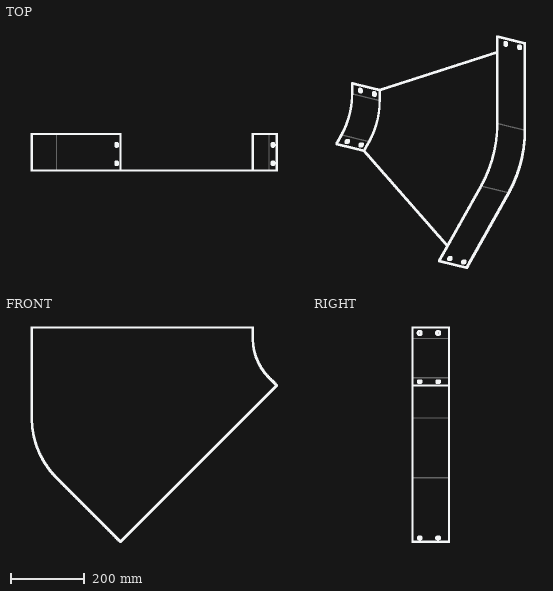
import cadquery as cq
import math

bend_angle = 45.0
overall_length = 665.0
wall_height = 100.0
sheet = 1.0
inner_radius = 149.5
inner_straight = 30.0
outer_radius = 229.5

hole_diameter = 9.0
hole_end_distance = inner_straight / 2
hole_first_height = 20.0
hole_spacing = 50.0
hole_rows = 2
hole_cutter_length = 4 * sheet

bend = math.radians(bend_angle)
half_tangent = math.tan(bend / 2)
inner_reach = inner_radius * (1 - math.cos(bend)) + inner_straight * math.sin(bend)
tray_width = overall_length - inner_reach
inner_corner = inner_straight + inner_radius * half_tangent
outer_corner = inner_corner + tray_width * half_tangent
outer_straight = outer_corner - outer_radius * half_tangent


def side_path(x_start, radius, straight):
    """Points of one side: start, bend start, bend middle, bend end, finish."""
    def on_arc(angle):
        x = x_start + radius * (1 - math.cos(angle))
        return (x, -straight - radius * math.sin(angle))

    bend_end = on_arc(bend)
    finish = (
        bend_end[0] + straight * math.sin(bend),
        bend_end[1] - straight * math.cos(bend),
    )
    return [(x_start, 0), on_arc(0), on_arc(bend / 2), bend_end, finish]


def band(left, right, depth):
    """Solid between two side paths, extruded from the front face toward +Y."""
    outline = (
        cq.Workplane("XZ")
        .moveTo(*left[0])
        .lineTo(*left[1])
        .threePointArc(left[2], left[3])
        .lineTo(*left[4])
        .lineTo(*right[4])
        .lineTo(*right[3])
        .threePointArc(right[2], right[1])
        .lineTo(*right[0])
        .close()
    )
    return outline.extrude(-depth)


def joint_holes(point, normal):
    """Cutters through one wall end, centred on its (x, z) point."""
    cutters = cq.Workplane("XY")
    direction = cq.Vector(normal[0], 0, normal[1])
    for row in range(hole_rows):
        centre = cq.Vector(point[0], hole_first_height + row * hole_spacing, point[1])
        start = centre - direction * (hole_cutter_length / 2)
        cutter = cq.Solid.makeCylinder(hole_diameter / 2, hole_cutter_length, start, direction)
        cutters = cutters.add(cutter)
    return cutters.combine()


outer_outside = side_path(0, outer_radius, outer_straight)
outer_inside = side_path(sheet, outer_radius - sheet, outer_straight)
inner_outside = side_path(tray_width, inner_radius, inner_straight)
inner_inside = side_path(tray_width - sheet, inner_radius + sheet, inner_straight)

base = band(outer_outside, inner_outside, sheet)
outer_wall = band(outer_outside, outer_inside, wall_height)
inner_wall = band(inner_inside, inner_outside, wall_height)
result = base.union(outer_wall).union(inner_wall)

for path in (outer_outside, inner_outside):
    start = path[0]
    finish = path[-1]
    first_end = (start[0], start[1] - hole_end_distance)
    last_end = (
        finish[0] - hole_end_distance * math.sin(bend),
        finish[1] + hole_end_distance * math.cos(bend),
    )
    result = result.cut(joint_holes(first_end, (1, 0)))
    result = result.cut(joint_holes(last_end, (math.cos(bend), math.sin(bend))))